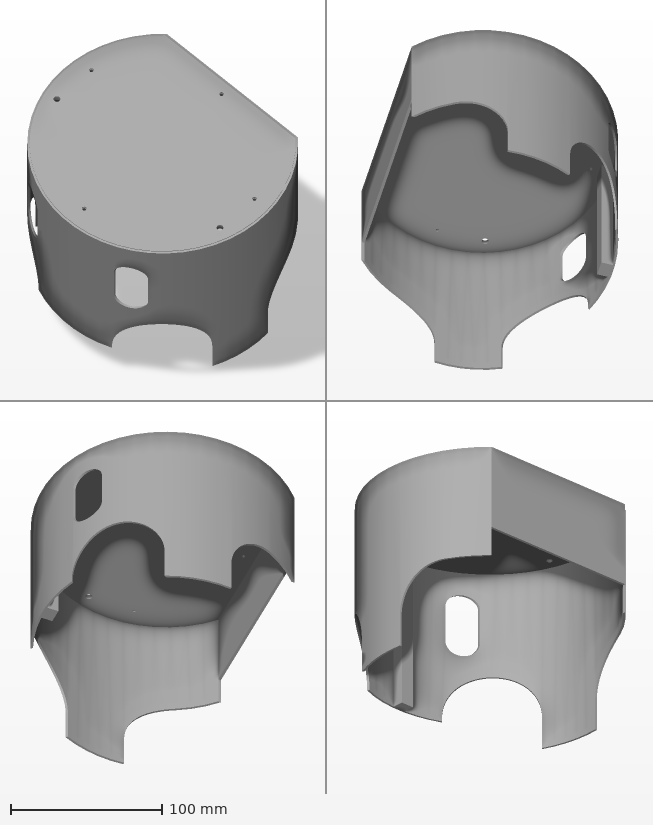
import cadquery as cq
import math

outer_radius = 89.5
flat_y = 66.0
curved_wall = 1.5
flat_wall = 2.0
shell_height = 136.0

lid_proud = 0.5
lid_thickness = 4.0
lid_top = shell_height + lid_proud
lid_bottom = lid_top - lid_thickness

centre_disc_radius = 25.0
side_disc_radius = 20.0
rear_disc_x, rear_disc_y = 54.9, 35.0
front_disc_x, front_disc_y = 34.9, -54.9
side_disc_places = [
    (side * x, y)
    for side in (-1, 1)
    for x, y in ((rear_disc_x, rear_disc_y), (front_disc_x, front_disc_y))
]

screw_hole_diameter = 2.1
screw_head_diameter = 3.0
screw_head_depth = 0.9
cable_hole_diameter = 4.5
side_hole_x = 75.1
screw_hole_places = [(0, 55.8), (0, -74.2), (-side_hole_x, 9.8), (side_hole_x, 9.8)]
cable_hole_places = [(-side_hole_x, -22.9), (side_hole_x, -22.9)]

front_edge_z = 20.4
front_edge_half_width = 53.6
rear_wall_edge_z = 76.4
side_edge_z = 55.5
leg_rear_y = 8.0
side_corner_radius = 33.0

arch_radius = 33.0
arch_top_z = 56.2
arch_angle = 46.0

slot_x = 45.0
slot_width = 20.0
slot_height = 45.0
slot_centre_z = 93.5

rib_width = 10.0
rib_depth = 8.0


def flat_sided_disc(radius, flat, bottom, top):
    """Upright cylinder cut off by a flat side at y = flat."""
    cylinder = cq.Workplane("XY").workplane(offset=bottom).circle(radius).extrude(top - bottom)
    keep = cq.Workplane("XY").box(
        2 * radius, radius + flat, top - bottom, centered=(True, False, False)
    ).translate((0, -radius, bottom))
    return cylinder.intersect(keep)


def inner_prism(bottom, top):
    """Solid that fills the inside of the shell between two heights."""
    return flat_sided_disc(outer_radius - curved_wall, flat_y - flat_wall, bottom, top)


def arch_cutter(angle):
    """Round-topped opening from the shell axis outwards, at an angle from the +X axis."""
    spring_z = arch_top_z - arch_radius
    cutter = (
        cq.Workplane("YZ")
        .moveTo(-arch_radius, 0)
        .lineTo(-arch_radius, spring_z)
        .threePointArc((0, arch_top_z), (arch_radius, spring_z))
        .lineTo(arch_radius, 0)
        .close()
        .extrude(2 * outer_radius)
    )
    return cutter.rotate((0, 0, 0), (0, 0, 1), angle)


def side_cutter():
    """Cuts both sides away behind the legs, with a rounded inner corner."""
    corner_z = side_edge_z - side_corner_radius
    corner_y = leg_rear_y + side_corner_radius
    diagonal = side_corner_radius * math.sqrt(0.5)
    return (
        cq.Workplane("YZ")
        .moveTo(leg_rear_y, 0)
        .lineTo(leg_rear_y, corner_z)
        .threePointArc((corner_y - diagonal, corner_z + diagonal), (corner_y, side_edge_z))
        .lineTo(outer_radius, side_edge_z)
        .lineTo(outer_radius, 0)
        .close()
        .extrude(outer_radius, both=True)
    )


def rear_wall_cutter():
    """Raises the lower edge of the flat wall between its inner corners."""
    half_width = math.sqrt((outer_radius - curved_wall) ** 2 - (flat_y - flat_wall) ** 2)
    return cq.Workplane("XY").box(
        2 * half_width, outer_radius, rear_wall_edge_z, centered=(True, False, False)
    )


def front_edge_cutter():
    """Shortens the front skirt between the two arches."""
    return cq.Workplane("XY").box(
        2 * front_edge_half_width, outer_radius, front_edge_z, centered=(True, False, False)
    ).translate((0, -outer_radius, 0))


def slot_cutter():
    """Both upright slots, cut straight along Y from the shell axis to the front."""
    return (
        cq.Workplane("XZ")
        .pushPoints([(-slot_x, slot_centre_z), (slot_x, slot_centre_z)])
        .slot2D(slot_height, slot_width, 90)
        .extrude(outer_radius)
    )


def make_rib():
    """Rib from the front edge up to the lid, trimmed to the outer curve of the shell."""
    block = cq.Workplane("XY").box(
        rib_width, rib_depth + curved_wall, lid_bottom - front_edge_z, centered=(True, False, False)
    ).translate((0, -outer_radius, front_edge_z))
    envelope = flat_sided_disc(outer_radius, flat_y, 0, shell_height)
    return block.intersect(envelope)


def make_shell():
    """Shell open at top and bottom, with its legs, openings and rib."""
    shell = flat_sided_disc(outer_radius, flat_y, 0, shell_height)
    shell = shell.cut(inner_prism(0, shell_height))
    shell = shell.cut(side_cutter()).cut(rear_wall_cutter()).cut(front_edge_cutter())
    for angle in (180 + arch_angle, -arch_angle):
        shell = shell.cut(arch_cutter(angle))
    return shell.cut(slot_cutter()).union(make_rib())


def lid_cylinders(places, radius, depth=lid_thickness):
    """Upright cylinders from the top of the lid down to a depth."""
    return (
        cq.Workplane("XY").workplane(offset=lid_top)
        .pushPoints(places).circle(radius).extrude(-depth)
    )


def make_lid():
    """Lid plate with seats for the discs and stepped screw holes."""
    lid = inner_prism(lid_bottom, lid_top)
    lid = lid.cut(lid_cylinders([(0, 0)], centre_disc_radius))
    lid = lid.cut(lid_cylinders(side_disc_places, side_disc_radius))
    lid = lid.cut(lid_cylinders(screw_hole_places, screw_hole_diameter / 2))
    lid = lid.cut(lid_cylinders(screw_hole_places, screw_head_diameter / 2, screw_head_depth))
    return lid.cut(lid_cylinders(cable_hole_places, cable_hole_diameter / 2))


shell = make_shell()
lid = make_lid()
centre_disc = lid_cylinders([(0, 0)], centre_disc_radius)
side_discs = [lid_cylinders([place], side_disc_radius) for place in side_disc_places]

result = cq.Compound.makeCompound(
    [shell.val(), lid.val(), centre_disc.val(), *[disc.val() for disc in side_discs]]
)